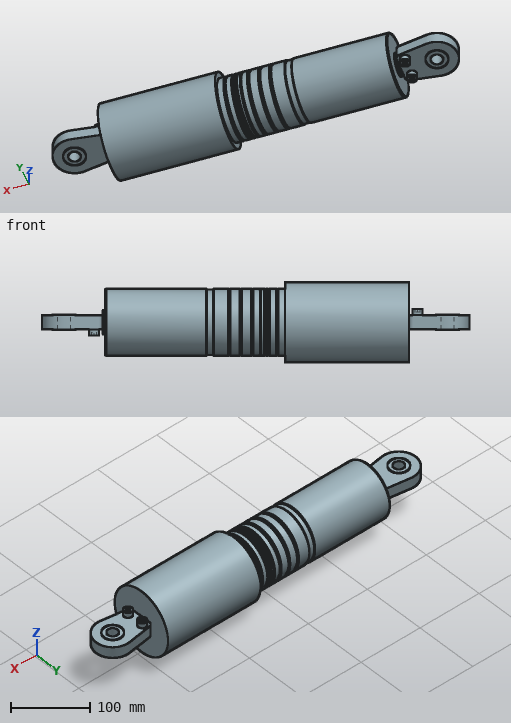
import cadquery as cq
import math


pin_distance = 485.0
sleeve_length = 157.0
lug_reach = 48.5
collar_length = 3.5

sleeve_diameter = 101.6
tube_diameter = 85.0
tube_chamfer_run = 1.5
tube_chamfer_drop = 1.0
collar_diameter = 31.5
collar_chamfer = 1.5

band_start = 127.6
band_width = 10.0
band_depth = 0.8
band_wall_run = 1.0
vee_centres = (156.7, 171.4, 186.1, 202.5, 207.2, 217.6)
vee_width = 3.2
vee_depth = 1.5
slit_centre = 196.4
slit_width = 1.6
slit_depth = 1.6

eye_radius = 28.0
lug_thickness = 18.0
lug_taper = math.radians(8.5)
lug_corner_radius = 6.5
bore_diameter = 16.0
bearing_diameter = 29.0
bearing_height = 20.0

screw_head_diameter = 13.0
screw_head_height = 8.0
screw_base_distance = 10.5
screw_spacing = 27.0
socket_across_flats = 6.0
socket_depth = 4.0
socket_turn = 30.0

tube_start = lug_reach + collar_length
sleeve_end = pin_distance - lug_reach
sleeve_start = sleeve_end - sleeve_length
tube_radius = tube_diameter / 2


def revolve_about_x(points):
    """Solid of revolution about X from (x, radius) points."""
    return cq.Workplane("XY").polyline(points).close().revolve(360, (0, 0, 0), (1, 0, 0))


def groove(centre, mouth_width, floor_width, depth):
    """Ring to be cut from the tube; a zero floor width gives a vee."""
    x = tube_start + centre
    floor_radius = tube_radius - depth
    clear_radius = tube_radius + depth
    points = [
        (x - mouth_width / 2, clear_radius),
        (x - mouth_width / 2, tube_radius),
        (x - floor_width / 2, floor_radius),
    ]
    if floor_width > 0:
        points.append((x + floor_width / 2, floor_radius))
    points += [
        (x + mouth_width / 2, tube_radius),
        (x + mouth_width / 2, clear_radius),
    ]
    return revolve_about_x(points)


def make_tube():
    """Grooved tube with the short collar that meets the left lug."""
    collar_radius = collar_diameter / 2
    tube = revolve_about_x([
        (lug_reach, 0),
        (lug_reach, collar_radius - collar_chamfer),
        (lug_reach + collar_chamfer, collar_radius),
        (tube_start, collar_radius),
        (tube_start, tube_radius - tube_chamfer_drop),
        (tube_start + tube_chamfer_run, tube_radius),
        (sleeve_start, tube_radius),
        (sleeve_start, 0),
    ])
    band_centre = band_start + band_width / 2
    tube = tube.cut(groove(band_centre, band_width, band_width - 2 * band_wall_run, band_depth))
    tube = tube.cut(groove(slit_centre, slit_width, slit_width, slit_depth))
    for centre in vee_centres:
        tube = tube.cut(groove(centre, vee_width, 0, vee_depth))
    return tube


def make_sleeve():
    """Plain large cylinder between the tube and the right lug."""
    start_plane = cq.Workplane("YZ", origin=(sleeve_start, 0, 0))
    return start_plane.circle(sleeve_diameter / 2).extrude(sleeve_length)


def make_lug():
    """Eye lug with its bore at the origin, base towards +X and screw heads below."""
    tangent_x = eye_radius * math.sin(lug_taper)
    tangent_y = eye_radius * math.cos(lug_taper)
    base_half_width = tangent_y - (lug_reach - tangent_x) * math.tan(lug_taper)
    lug = (
        cq.Workplane("XY", origin=(0, 0, -lug_thickness / 2))
        .moveTo(tangent_x, tangent_y)
        .threePointArc((-eye_radius, 0), (tangent_x, -tangent_y))
        .lineTo(lug_reach, -base_half_width)
        .lineTo(lug_reach, base_half_width)
        .close()
        .extrude(lug_thickness)
        .edges("|Z and >X")
        .fillet(lug_corner_radius)
    )
    bearing_plane = cq.Workplane("XY", origin=(0, 0, -bearing_height / 2))
    bearing = bearing_plane.circle(bearing_diameter / 2).extrude(bearing_height)
    bore = bearing_plane.circle(bore_diameter / 2).extrude(bearing_height)
    lug = lug.union(bearing).cut(bore)

    head_bottom = -lug_thickness / 2 - screw_head_height
    socket_across_corners = socket_across_flats / math.cos(math.pi / 6)
    screw_x = lug_reach - screw_base_distance
    for screw_y in (-screw_spacing / 2, screw_spacing / 2):
        screw_plane = cq.Workplane("XY", origin=(screw_x, screw_y, head_bottom))
        head = screw_plane.circle(screw_head_diameter / 2).extrude(screw_head_height)
        socket = (
            screw_plane.transformed(rotate=(0, 0, socket_turn))
            .polygon(6, socket_across_corners)
            .extrude(socket_depth)
        )
        lug = lug.union(head).cut(socket)
    return lug


tube = make_tube()
sleeve = make_sleeve()
left_lug = make_lug()
right_lug = make_lug().rotate((0, 0, 0), (0, 1, 0), 180).translate((pin_distance, 0, 0))

result = cq.Compound.makeCompound([tube.val(), sleeve.val(), left_lug.val(), right_lug.val()])